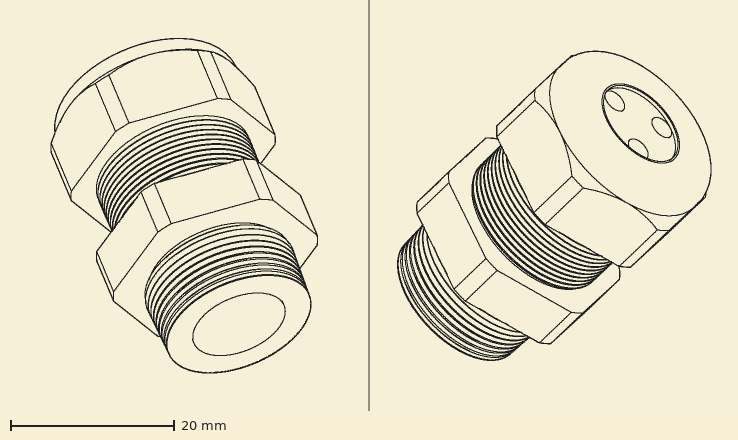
import cadquery as cq
import math

TOTAL_LENGTH = 36.83
HEX_FLATS = 23.88
HEX_CORNER_DIAMETER = 26.49

CAP_RADIUS = HEX_FLATS / 2
DOME_ROUNDING = 2.05
CAP_HEX_START = 2.82
CAP_END = 11.81

FLANGE_START = 21.45
FLANGE_END = 27.89

CAP_THREAD_START_RADIUS = 10.02
CAP_THREAD_END_RADIUS = 9.9
CAP_THREAD_ROOT = 9.42
CAP_THREAD_PITCH = 0.765
CAP_THREAD_GROOVES = 13
CAP_THREAD_FIRST_GROOVE = CAP_END + 0.32

ENTRY_THREAD_START_RADIUS = 9.7
ENTRY_THREAD_END_RADIUS = 9.35
ENTRY_THREAD_ROOT = 8.9
ENTRY_THREAD_PITCH = 0.907
ENTRY_THREAD_GROOVES = 10
ENTRY_THREAD_FIRST_GROOVE = FLANGE_END + 1.28
NECK_FILLET = 0.98

THREAD_HALF_ANGLE = math.radians(30)
GROOVE_OVERCUT = 0.2

INSERT_RADIUS = 6.0
INSERT_LENGTH = CAP_END
DISH_RADIUS = 5.76
DISH_DEPTH = 0.5
CABLE_HOLE_RADIUS = 1.53
CABLE_HOLE_OFFSET = 4.2
CABLE_HOLE_COUNT = 3
FIRST_HOLE_ANGLE = 30


def x_cylinder(radius, start, end):
    return cq.Workplane("YZ").workplane(offset=start).circle(radius).extrude(end - start)


def revolve_about_x(outline):
    return outline.close().revolve(360, (0, 0, 0), (1, 0, 0))


def cone_along_x(start, start_radius, end, end_radius):
    outline = cq.Workplane("XY").polyline([(start, 0), (start, start_radius), (end, end_radius), (end, 0)])
    return revolve_about_x(outline)


def hex_prism(start, end):
    """Hex with flats on +Z and -Z, its corners rounded to a cylinder."""
    sharp_corner_diameter = HEX_FLATS / math.cos(math.pi / 6)
    prism = cq.Workplane("YZ").workplane(offset=start).polygon(6, sharp_corner_diameter).extrude(end - start)
    return prism.intersect(x_cylinder(HEX_CORNER_DIAMETER / 2, start, end))


def cut_thread_grooves(blank, root, top, first, pitch, count):
    """Cut equally spaced V-shaped rings, each down to the root radius."""
    cutter_top = top + GROOVE_OVERCUT
    half_width = (cutter_top - root) * math.tan(THREAD_HALF_ANGLE)
    for index in range(count):
        middle = first + index * pitch
        outline = cq.Workplane("XY").polyline([
            (middle - half_width, cutter_top),
            (middle, root),
            (middle + half_width, cutter_top),
        ])
        blank = blank.cut(revolve_about_x(outline))
    return blank


def make_cap():
    """Rounded disc, then a hex whose front corners are chamfered by a 45 degree cone."""
    dome = x_cylinder(CAP_RADIUS, 0, CAP_HEX_START).faces("<X").edges().fillet(DOME_ROUNDING)
    grip_length = CAP_END - CAP_HEX_START
    chamfer_cone = cone_along_x(CAP_HEX_START, CAP_RADIUS, CAP_END, CAP_RADIUS + grip_length)
    return dome.union(hex_prism(CAP_HEX_START, CAP_END).intersect(chamfer_cone))


def make_cap_thread():
    blank = cone_along_x(CAP_END, CAP_THREAD_START_RADIUS, FLANGE_START, CAP_THREAD_END_RADIUS)
    return cut_thread_grooves(
        blank, CAP_THREAD_ROOT, CAP_THREAD_START_RADIUS,
        CAP_THREAD_FIRST_GROOVE, CAP_THREAD_PITCH, CAP_THREAD_GROOVES,
    )


def make_entry_thread():
    """Tapered thread that starts with a concave fillet rising from a narrow neck."""
    neck_radius = ENTRY_THREAD_START_RADIUS - NECK_FILLET
    fillet_end = FLANGE_END + NECK_FILLET
    arc_middle = (
        FLANGE_END + NECK_FILLET * math.sin(math.pi / 4),
        ENTRY_THREAD_START_RADIUS - NECK_FILLET * math.cos(math.pi / 4),
    )
    outline = (
        cq.Workplane("XY")
        .moveTo(FLANGE_END, 0)
        .lineTo(FLANGE_END, neck_radius)
        .threePointArc(arc_middle, (fillet_end, ENTRY_THREAD_START_RADIUS))
        .lineTo(TOTAL_LENGTH, ENTRY_THREAD_END_RADIUS)
        .lineTo(TOTAL_LENGTH, 0)
    )
    return cut_thread_grooves(
        revolve_about_x(outline), ENTRY_THREAD_ROOT, ENTRY_THREAD_START_RADIUS,
        ENTRY_THREAD_FIRST_GROOVE, ENTRY_THREAD_PITCH, ENTRY_THREAD_GROOVES,
    )


def make_gland():
    gland = make_cap().union(make_cap_thread())
    gland = gland.union(hex_prism(FLANGE_START, FLANGE_END))
    gland = gland.union(make_entry_thread())
    return gland.cut(x_cylinder(INSERT_RADIUS, 0, TOTAL_LENGTH))


def make_insert():
    insert = x_cylinder(INSERT_RADIUS, 0, INSERT_LENGTH)
    insert = insert.cut(x_cylinder(DISH_RADIUS, 0, DISH_DEPTH))
    holes = (
        cq.Workplane("YZ")
        .polarArray(CABLE_HOLE_OFFSET, FIRST_HOLE_ANGLE, 360, CABLE_HOLE_COUNT)
        .circle(CABLE_HOLE_RADIUS)
        .extrude(INSERT_LENGTH)
    )
    return insert.cut(holes)


gland = make_gland()
insert = make_insert()
result = cq.Compound.makeCompound([gland.val(), insert.val()])